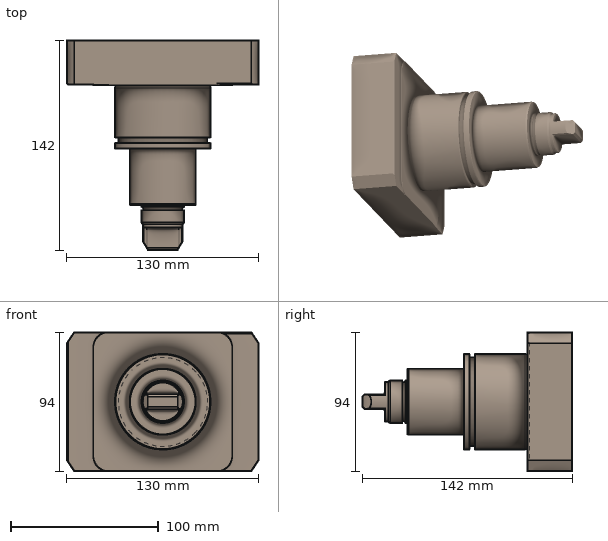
import cadquery as cq
PLATE_WIDTH = 130.0
PLATE_HEIGHT = 94.0
PLATE_DEPTH = 30.0
CORNER_CUT_X = 5.0
CORNER_CUT_Z = 7.5
EDGE_CHAMFER = 1.0

PAD_WIDTH = 94.0
PAD_RAISE = 0.5
PAD_CORNER_RADIUS = 10.0

RELIEF_DIAMETER = 64.6
SLEEVE_DIAMETER = 65.0
SLEEVE_GROOVE_DIAMETER = 60.3
SHANK_DIAMETER = 45.0
COLLAR_DIAMETER = 29.0
COLLAR_GROOVE_DIAMETER = 26.6
TANG_DIAMETER = 27.0

SLEEVE_START = 2.4
SLEEVE_GROOVE_START = 36.0
SLEEVE_GROOVE_END = 39.3
SLEEVE_END = 43.5
SHANK_END = 81.5
COLLAR_GROOVE_START = 82.8
COLLAR_GROOVE_END = 85.0
COLLAR_END = 94.6
TANG_SHOULDER = 97.0
TANG_END = 112.0

SLEEVE_LEAD_IN = 0.8
SLEEVE_CHAMFER = 0.5
SHANK_CHAMFER_LENGTH = 1.0
SHANK_CHAMFER_DEPTH = 0.4
COLLAR_TAPER = 1.3
SHOULDER_CHAMFER = 0.5

TANG_THICKNESS = 10.0
TANG_ROOT_RADIUS = 1.0
TANG_TIP_BEVEL = 1.5
TANG_TIP_HALF_WIDTH = 10.0
TANG_TAPER_LENGTH = 6.0
TANG_FLAT_HALF_WIDTH = 10.8
TANG_EDGE_DROP = 0.8


def make_plate():
    """Plate with cut corners and two broken front edges, plus the seat pad."""
    half_width = PLATE_WIDTH / 2
    half_height = PLATE_HEIGHT / 2
    inner_x = half_width - CORNER_CUT_X
    inner_z = half_height - CORNER_CUT_Z
    outline = [
        (-inner_x, -half_height),
        (inner_x, -half_height),
        (half_width, -inner_z),
        (half_width, inner_z),
        (inner_x, half_height),
        (-inner_x, half_height),
        (-half_width, inner_z),
        (-half_width, -inner_z),
    ]
    plate = cq.Workplane("XZ").polyline(outline).close().extrude(-PLATE_DEPTH)
    plate = plate.edges("|Z and <X and <Y").chamfer(EDGE_CHAMFER)

    wedge_outline = [(0, half_height), (EDGE_CHAMFER, half_height), (0, half_height - EDGE_CHAMFER)]
    wedge = cq.Workplane("YZ").polyline(wedge_outline).close().extrude(half_width)

    pad = (
        cq.Workplane("XZ", origin=(0, EDGE_CHAMFER, 0))
        .rect(PAD_WIDTH, PLATE_HEIGHT)
        .extrude(EDGE_CHAMFER + PAD_RAISE)
        .edges("|Y")
        .fillet(PAD_CORNER_RADIUS)
    )
    return plate.cut(wedge).union(pad)


def make_shank():
    """Stepped body of revolution about the Y axis, up to the tang shoulder."""
    relief = RELIEF_DIAMETER / 2
    sleeve = SLEEVE_DIAMETER / 2
    sleeve_groove = SLEEVE_GROOVE_DIAMETER / 2
    shank = SHANK_DIAMETER / 2
    collar = COLLAR_DIAMETER / 2
    collar_groove = COLLAR_GROOVE_DIAMETER / 2
    tang = TANG_DIAMETER / 2
    to_groove = [
        (0, 0),
        (relief, 0),
        (relief, SLEEVE_START - SLEEVE_LEAD_IN),
        (sleeve, SLEEVE_START),
        (sleeve, SLEEVE_GROOVE_START - SLEEVE_CHAMFER),
        (sleeve - SLEEVE_CHAMFER, SLEEVE_GROOVE_START),
        (sleeve_groove, SLEEVE_GROOVE_START),
        (sleeve_groove, SLEEVE_GROOVE_END),
        (sleeve - SLEEVE_CHAMFER, SLEEVE_GROOVE_END),
        (sleeve, SLEEVE_GROOVE_END + SLEEVE_CHAMFER),
        (sleeve, SLEEVE_END - SLEEVE_CHAMFER),
        (sleeve - SLEEVE_CHAMFER, SLEEVE_END),
        (shank, SLEEVE_END),
        (shank, SHANK_END - SHANK_CHAMFER_LENGTH),
        (shank - SHANK_CHAMFER_DEPTH, SHANK_END),
        (collar, SHANK_END),
        (collar, COLLAR_GROOVE_START),
    ]
    from_groove = [
        (collar_groove, COLLAR_GROOVE_END),
        (collar, COLLAR_GROOVE_END),
        (collar, COLLAR_END - COLLAR_TAPER),
        (tang, COLLAR_END),
        (tang, TANG_SHOULDER - SHOULDER_CHAMFER),
        (tang - SHOULDER_CHAMFER, TANG_SHOULDER),
        (0, TANG_SHOULDER),
    ]
    groove_radius = collar - collar_groove
    groove_bottom = (collar_groove, -COLLAR_GROOVE_START - groove_radius)
    return (
        cq.Workplane("XY")
        .polyline([(radius, -distance) for radius, distance in to_groove])
        .radiusArc(groove_bottom, -groove_radius)
        .polyline([(radius, -distance) for radius, distance in from_groove], includeCurrent=True)
        .close()
        .revolve(360, (0, 0, 0), (0, 1, 0))
    )


def symmetric_outline(half_points):
    """Close an outline by mirroring its positive half across the first coordinate axis."""
    return half_points + [(first, -second) for first, second in reversed(half_points)]


def make_tang():
    """Flat drive tang with beveled tip, tapered sides and broken long edges."""
    radius = TANG_DIAMETER / 2
    half = TANG_THICKNESS / 2
    root = -TANG_SHOULDER + SHOULDER_CHAMFER

    side_points = symmetric_outline([
        (root, half),
        (-TANG_END + TANG_TIP_BEVEL, half),
        (-TANG_END, half - TANG_TIP_BEVEL),
    ])
    side_prism = cq.Workplane("YZ").polyline(side_points).close().extrude(radius, both=True)

    taper_start = -TANG_END + TANG_TAPER_LENGTH
    plan_points = [
        (radius, root),
        (radius, taper_start),
        (TANG_TIP_HALF_WIDTH, -TANG_END),
        (-TANG_TIP_HALF_WIDTH, -TANG_END),
        (-radius, taper_start),
        (-radius, root),
    ]
    plan_prism = cq.Workplane("XY").polyline(plan_points).close().extrude(half, both=True)

    edge_z = half - TANG_EDGE_DROP
    section_points = symmetric_outline([
        (-radius, edge_z),
        (-TANG_FLAT_HALF_WIDTH, half),
        (TANG_FLAT_HALF_WIDTH, half),
        (radius, edge_z),
    ])
    section_prism = cq.Workplane("XZ").polyline(section_points).close().extrude(TANG_END)

    round_bar = cq.Workplane("XZ").circle(radius).extrude(TANG_END)
    return round_bar.intersect(side_prism).intersect(plan_prism).intersect(section_prism)


def make_tang_root():
    """Concave blends between the shoulder and the two flats of the tang."""
    half = TANG_THICKNESS / 2
    root_end = -TANG_SHOULDER - TANG_ROOT_RADIUS
    blend = (
        cq.Workplane("YZ")
        .moveTo(-TANG_SHOULDER, 0)
        .lineTo(-TANG_SHOULDER, half + TANG_ROOT_RADIUS)
        .radiusArc((root_end, half), TANG_ROOT_RADIUS)
        .lineTo(root_end, 0)
        .close()
        .extrude(TANG_FLAT_HALF_WIDTH, both=True)
    )
    return blend.union(blend.mirror("XY"))


result = make_plate().union(make_shank()).union(make_tang()).union(make_tang_root())